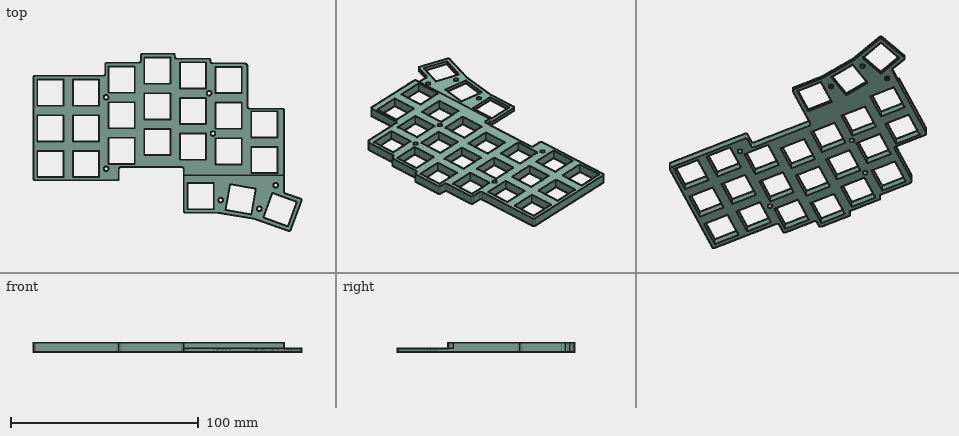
import cadquery as cq

MAIN_THICKNESS = 5.0
THUMB_THICKNESS = 2.0
STEP_Y = 29.85

KEY_PITCH = 19.0
CUTOUT_SIZE = 13.8
BORDER = 2.15

MIDDLE_TOP = 94.49
LEFT_TOP = 82.8
RING_TOP = 89.75
INDEX_TOP = 91.85
INNER_TOP = 89.4
END_TOP = 65.2

LEFT_BOTTOM = 27.0
MAIN_BOTTOM = 34.0
THUMB_BOTTOM = 9.75

RING_LEFT = 38.3
LEFT_BLOCK_RIGHT = 45.55
MIDDLE_LEFT = 57.25
MIDDLE_RIGHT = 75.4
THUMB_LEFT = 80.05
INDEX_RIGHT = 94.4
INNER_RIGHT = 114.2
END_RIGHT = 133.6

THUMB_NOTCH = (END_RIGHT, 20.3)
THUMB_TIP_TOP = (143.23, 16.99)
THUMB_TIP_BOTTOM = (136.75, -0.27)
SECOND_THUMB_BEND = (117.6, 6.5)
FIRST_THUMB_BEND = (97.8, THUMB_BOTTOM)

SHARP = 0.0
CORNER_RADIUS = 1.0
INNER_TOP_RADIUS = 2.0

COLUMNS = [
    (11.75, 3),
    (11.75, 3),
    (4.75, 3),
    (0.0, 3),
    (2.5, 3),
    (5.0, 3),
    (9.6, 2),
]
FIRST_COLUMN_X = BORDER + CUTOUT_SIZE / 2
MIDDLE_COLUMN_KEYS = 3
MIDDLE_BOTTOM_KEY_Y = MIDDLE_TOP - BORDER - CUTOUT_SIZE / 2 - (MIDDLE_COLUMN_KEYS - 1) * KEY_PITCH

THUMB_KEYS = [
    (89.15, 18.6, 0),
    (110.45, 16.9, -10),
    (131.45, 11.4, -20),
]

SCREW_DIAMETER = 2.4
SCREW_CENTRES = [
    (38.75, 71.2),
    (38.75, 33.2),
    (93.6, 73.4),
    (95.7, 51.9),
    (129.1, 24.4),
    (99.8, 16.5),
    (120.4, 11.9),
]


def make_plate():
    """Stepped plate at full thickness, with its vertical corners rounded."""
    corners = [
        ((0, LEFT_BOTTOM), CORNER_RADIUS),
        ((0, LEFT_TOP), CORNER_RADIUS),
        ((RING_LEFT, LEFT_TOP), CORNER_RADIUS),
        ((RING_LEFT, RING_TOP), CORNER_RADIUS),
        ((MIDDLE_LEFT, RING_TOP), CORNER_RADIUS),
        ((MIDDLE_LEFT, MIDDLE_TOP), CORNER_RADIUS),
        ((MIDDLE_RIGHT, MIDDLE_TOP), CORNER_RADIUS),
        ((MIDDLE_RIGHT, INDEX_TOP), CORNER_RADIUS),
        ((INDEX_RIGHT, INDEX_TOP), CORNER_RADIUS),
        ((INDEX_RIGHT, INNER_TOP), CORNER_RADIUS),
        ((INNER_RIGHT, INNER_TOP), INNER_TOP_RADIUS),
        ((INNER_RIGHT, END_TOP), CORNER_RADIUS),
        ((END_RIGHT, END_TOP), CORNER_RADIUS),
        (THUMB_NOTCH, CORNER_RADIUS),
        (THUMB_TIP_TOP, CORNER_RADIUS),
        (THUMB_TIP_BOTTOM, CORNER_RADIUS),
        (SECOND_THUMB_BEND, SHARP),
        (FIRST_THUMB_BEND, SHARP),
        ((THUMB_LEFT, THUMB_BOTTOM), CORNER_RADIUS),
        ((THUMB_LEFT, MAIN_BOTTOM), CORNER_RADIUS),
        ((LEFT_BLOCK_RIGHT, MAIN_BOTTOM), CORNER_RADIUS),
        ((LEFT_BLOCK_RIGHT, LEFT_BOTTOM), CORNER_RADIUS),
    ]
    outline = [point for point, radius in corners]
    plate = cq.Workplane("XY").polyline(outline).close().extrude(MAIN_THICKNESS)
    for (x, y), radius in corners:
        if radius > SHARP:
            corner = cq.selectors.NearestToPointSelector((x, y, MAIN_THICKNESS / 2))
            plate = plate.edges("|Z").edges(corner).fillet(radius)
    return plate


def make_thumb_relief():
    """Block of material above the thin thumb area."""
    clearance = 1.0
    left = THUMB_LEFT - clearance
    right = THUMB_TIP_TOP[0] + clearance
    bottom = THUMB_TIP_BOTTOM[1] - clearance
    return (
        cq.Workplane("XY", origin=(left, bottom, THUMB_THICKNESS))
        .rect(right - left, STEP_Y - bottom, centered=False)
        .extrude(MAIN_THICKNESS - THUMB_THICKNESS)
    )


def make_key_cutout(x, y, angle=0):
    """Square switch opening through the full plate thickness."""
    return (
        cq.Workplane("XY", origin=(x, y, 0))
        .transformed(rotate=(0, 0, angle))
        .rect(CUTOUT_SIZE, CUTOUT_SIZE)
        .extrude(MAIN_THICKNESS)
    )


def cut_column_keys(plate):
    """Cut the staggered columns of switch openings."""
    for column, (drop, key_count) in enumerate(COLUMNS):
        x = FIRST_COLUMN_X + column * KEY_PITCH
        for row in range(key_count):
            y = MIDDLE_BOTTOM_KEY_Y - drop + row * KEY_PITCH
            plate = plate.cut(make_key_cutout(x, y))
    return plate


def cut_thumb_keys(plate):
    """Cut the fanned-out thumb switch openings."""
    for x, y, angle in THUMB_KEYS:
        plate = plate.cut(make_key_cutout(x, y, angle))
    return plate


def make_screw_holes():
    """Cylinders for the through screw holes."""
    return (
        cq.Workplane("XY")
        .pushPoints(SCREW_CENTRES)
        .circle(SCREW_DIAMETER / 2)
        .extrude(MAIN_THICKNESS)
    )


result = make_plate().cut(make_thumb_relief())
result = cut_column_keys(result)
result = cut_thumb_keys(result)
result = result.cut(make_screw_holes())